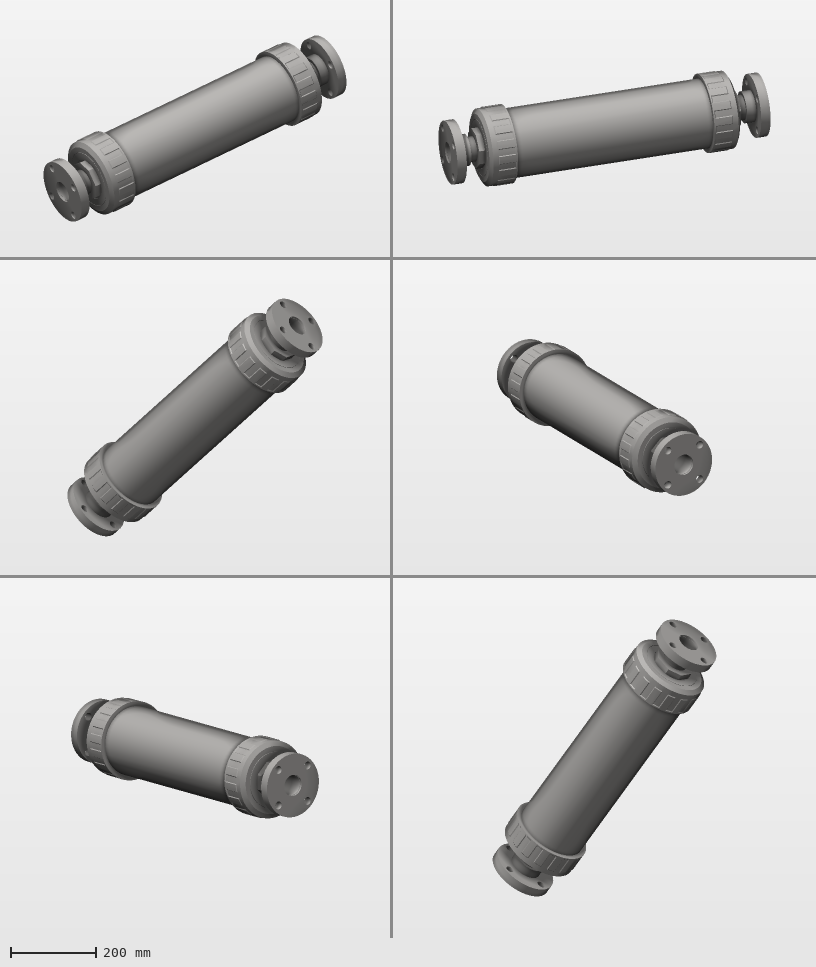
import cadquery as cq
import math

OVERALL_LENGTH = 770.59
TUBE_DIA = 166.0
BORE_DIA = 49.25
BORE_MOUTH_DIA = 50.8
BORE_MOUTH_DEPTH = 5.0

FLANGE_DIA = 152.4
FLANGE_THICKNESS = 23.0
HUB_DIA = 76.2
HUB_LENGTH = 23.0
PIPE_DIA = 60.33
PIPE_LENGTH = 17.0
BOLT_HOLE_DIA = 18.92
BOLT_CIRCLE_DIA = 120.65
BOLT_COUNT = 4

BUSHING_WIDTH = 91.5
BUSHING_FACET = 34.8
BUSHING_CORNER_CUT = (BUSHING_WIDTH - BUSHING_FACET) / 2
BUSHING_ACROSS_CORNERS = math.hypot(BUSHING_WIDTH, BUSHING_FACET)
BUSHING_HEIGHT = 14.0

NUT_LENGTH = 66.5
NUT_BODY_DIA = 185.6
NUT_FACE_DIA = 162.5
NUT_BEVEL_LENGTH = 6.5
NUT_OPENING_DIA = 136.8

PLUG_DIA = 134.62
PLUG_GAP_DEPTH = 2.0
POCKET_CLEARANCE = 0.5
POCKET_DEPTH = 2.0

GRIP_DIA = 189.1
GRIP_HEIGHT = (GRIP_DIA - NUT_BODY_DIA) / 2
GRIP_LENGTH = 46.5
GRIP_RING_WIDTH = 5.0
RIB_COUNT = 16
RIB_PITCH = 360.0 / RIB_COUNT
RIB_FOOT_ANGLE = 13.0
RIB_TOP_ANGLE = RIB_FOOT_ANGLE - 2 * math.degrees(2 * GRIP_HEIGHT / GRIP_DIA)
FIRST_RIB_ANGLE = RIB_PITCH / 3

FLANGE_FACE = OVERALL_LENGTH / 2
FLANGE_BACK = FLANGE_FACE - FLANGE_THICKNESS
HUB_BACK = FLANGE_BACK - HUB_LENGTH
BUSHING_FACE = HUB_BACK - PIPE_LENGTH
NUT_FACE = BUSHING_FACE - BUSHING_HEIGHT
POCKET_FLOOR = NUT_FACE - POCKET_DEPTH
NUT_BACK = NUT_FACE - NUT_LENGTH
GRIP_FRONT = NUT_BACK + GRIP_LENGTH


def plane_at(y):
    """Sketch plane facing +Y, with local x along +Z and local y along +X."""
    return cq.Workplane(cq.Plane(origin=(0, y, 0), xDir=(0, 0, 1), normal=(0, 1, 0)))


def disc(diameter, y_start, y_end):
    return plane_at(y_start).circle(diameter / 2).extrude(y_end - y_start)


def flange():
    plate = disc(FLANGE_DIA, FLANGE_BACK, FLANGE_FACE)
    bolt_holes = (
        plane_at(FLANGE_BACK)
        .polarArray(BOLT_CIRCLE_DIA / 2, 180 / BOLT_COUNT, 360, BOLT_COUNT)
        .circle(BOLT_HOLE_DIA / 2)
        .extrude(FLANGE_THICKNESS)
    )
    hub = disc(HUB_DIA, HUB_BACK, FLANGE_BACK)
    pipe = disc(PIPE_DIA, BUSHING_FACE, HUB_BACK)
    return plate.cut(bolt_holes).union(hub).union(pipe)


def bushing():
    return (
        plane_at(POCKET_FLOOR)
        .rect(BUSHING_WIDTH, BUSHING_WIDTH)
        .extrude(BUSHING_FACE - POCKET_FLOOR)
        .edges("|Y")
        .chamfer(BUSHING_CORNER_CUT)
    )


def on_circle(radius, angle):
    return radius * math.cos(math.radians(angle)), radius * math.sin(math.radians(angle))


def sloped_disc(length):
    """Disc of the grip diameter, sloping down to the nut body at its outer end."""
    return disc(GRIP_DIA, NUT_BACK, NUT_BACK + length).faces(">Y").chamfer(GRIP_HEIGHT)


def ribbed_grip():
    """Prism whose outline alternates between rib tops and groove floors, with sloped rib ends."""
    top_radius = GRIP_DIA / 2
    floor_radius = NUT_BODY_DIA / 2
    half_top = RIB_TOP_ANGLE / 2
    half_foot = RIB_FOOT_ANGLE / 2
    half_pitch = RIB_PITCH / 2
    outline = plane_at(NUT_BACK).moveTo(*on_circle(floor_radius, FIRST_RIB_ANGLE - half_foot))
    for index in range(RIB_COUNT):
        center = FIRST_RIB_ANGLE + index * RIB_PITCH
        outline = (
            outline.lineTo(*on_circle(top_radius, center - half_top))
            .threePointArc(on_circle(top_radius, center), on_circle(top_radius, center + half_top))
            .lineTo(*on_circle(floor_radius, center + half_foot))
            .threePointArc(
                on_circle(floor_radius, center + half_pitch),
                on_circle(floor_radius, center + RIB_PITCH - half_foot),
            )
        )
    return outline.close().extrude(GRIP_LENGTH).intersect(sloped_disc(GRIP_LENGTH))


def nut():
    """Union nut filled by the end plug."""
    bevel_width = (NUT_BODY_DIA - NUT_FACE_DIA) / 2
    cap = (
        disc(NUT_BODY_DIA, GRIP_FRONT, NUT_FACE)
        .faces(">Y")
        .chamfer(NUT_BEVEL_LENGTH, bevel_width)
    )
    plug_gap = disc(NUT_OPENING_DIA, NUT_FACE - PLUG_GAP_DEPTH, NUT_FACE).cut(
        disc(PLUG_DIA, NUT_FACE - PLUG_GAP_DEPTH, NUT_FACE)
    )
    pocket = disc(BUSHING_ACROSS_CORNERS + 2 * POCKET_CLEARANCE, POCKET_FLOOR, NUT_FACE)
    ring = sloped_disc(GRIP_RING_WIDTH)
    return cap.cut(plug_gap).cut(pocket).union(ribbed_grip()).union(ring)


def end_fittings():
    return nut().union(bushing()).union(flange())


tube = disc(TUBE_DIA, -NUT_BACK, NUT_BACK)
far_end = end_fittings()
near_end = far_end.rotate((0, 0, 0), (0, 0, 1), 180)
bore = disc(BORE_DIA, -FLANGE_FACE, FLANGE_FACE)
far_mouth = disc(BORE_MOUTH_DIA, FLANGE_FACE - BORE_MOUTH_DEPTH, FLANGE_FACE)
near_mouth = disc(BORE_MOUTH_DIA, -FLANGE_FACE, BORE_MOUTH_DEPTH - FLANGE_FACE)

result = tube.union(far_end).union(near_end).cut(bore).cut(far_mouth).cut(near_mouth)